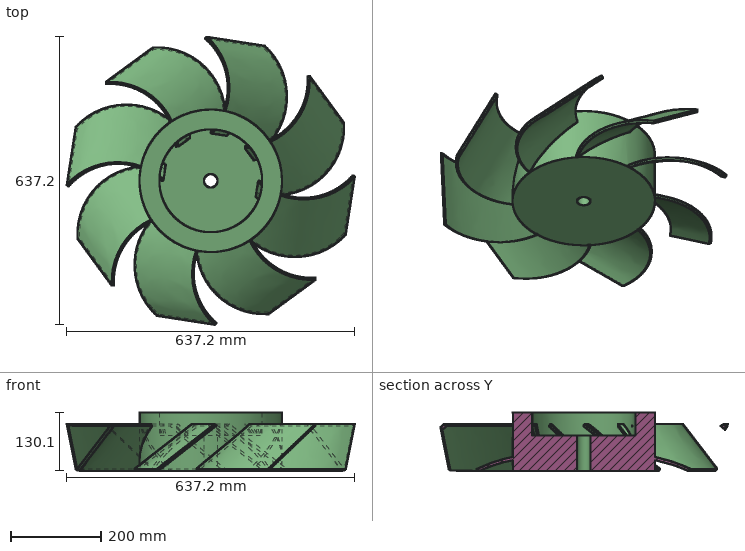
import cadquery as cq
import math

hub_diameter = 315.0
hub_height = 130.0
recess_diameter = 227.5
recess_depth = 51.0
shaft_hole_diameter = 29.0
recess_floor = hub_height - recess_depth

blade_count = 8
blade_pitch = 360 / blade_count
blade_height = 104.5
blade_outer_radius = 151.5
blade_thickness = 6.5
blade_bottom_lip = 5.0
blade_tip_angle = 138
blade_root_angle = 48
bottom_arc_center = (-186.0, 17.0)
top_arc_center = (-206.0, -110.0)

flush_blades = (1, 2, 3)


def arc_point(center, radius, angle):
    turn = math.radians(angle)
    return (center[0] + radius * math.cos(turn), center[1] + radius * math.sin(turn))


def make_blade_edge(center, height):
    """Make the arc that bounds the upper blade face at the given height."""
    angles = (blade_tip_angle, (blade_tip_angle + blade_root_angle) / 2, blade_root_angle)
    points = [cq.Vector(*arc_point(center, blade_outer_radius, angle), height) for angle in angles]
    return cq.Edge.makeThreePointArc(*points)


def make_blade():
    """Thicken the upper blade face downward, square to its surface."""
    bottom_edge = make_blade_edge(bottom_arc_center, blade_bottom_lip)
    top_edge = make_blade_edge(top_arc_center, blade_height)
    upper_face = cq.Face.makeRuledSurface(bottom_edge, top_edge)
    return cq.Workplane(upper_face.thicken(blade_thickness))


def make_hub():
    return cq.Workplane("XY").circle(hub_diameter / 2).extrude(hub_height)


def make_recess():
    return (
        cq.Workplane("XY", origin=(0, 0, recess_floor))
        .circle(recess_diameter / 2)
        .extrude(recess_depth)
    )


recess = make_recess()
blade = make_blade()
result = make_hub().cut(recess)

for index in range(blade_count):
    placed_blade = blade.rotate((0, 0, 0), (0, 0, 1), index * blade_pitch)
    if index in flush_blades:
        placed_blade = placed_blade.cut(recess)
    result = result.union(placed_blade)

shaft_hole = cq.Workplane("XY").circle(shaft_hole_diameter / 2).extrude(hub_height)
result = result.cut(shaft_hole)